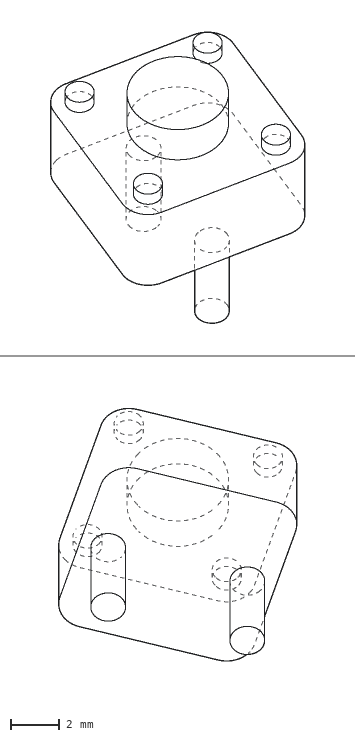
import cadquery as cq

total_height = 10.25
housing_width = 8.44
housing_height = 4.22
cover_thickness = 0.6
corner_radius = 1.21

button_diameter = 4.22

spacing = 6.03
peg_diameter = 1.21
peg_height = 0.6
pin_diameter = 1.45
pin_length = 4.22

button_height = total_height - pin_length - housing_height
base_height = housing_height - cover_thickness


def rounded_block(bottom, height):
    """Square block with rounded vertical corners."""
    return (
        cq.Workplane("XY", origin=(0, 0, bottom))
        .rect(housing_width, housing_width)
        .extrude(height)
        .edges("|Z")
        .fillet(corner_radius)
    )


def cylinders(centres, bottom, diameter, height):
    """Equal upright cylinders at the given XY centres."""
    return (
        cq.Workplane("XY", origin=(0, 0, bottom))
        .pushPoints(centres)
        .circle(diameter / 2)
        .extrude(height)
    )


base = rounded_block(0, base_height)
cover = rounded_block(base_height, cover_thickness)

button = cylinders([(0, 0)], housing_height, button_diameter, button_height)

peg_centres = [(x * spacing / 2, y * spacing / 2) for x in (-1, 1) for y in (-1, 1)]
pegs = cylinders(peg_centres, housing_height, peg_diameter, peg_height)

pin_centres = [(x * spacing / 2, 0) for x in (-1, 1)]
pins = cylinders(pin_centres, -pin_length, pin_diameter, pin_length)

result = base.union(cover, clean=False)
for feature in (button, pegs, pins):
    result = result.union(feature, clean=False)